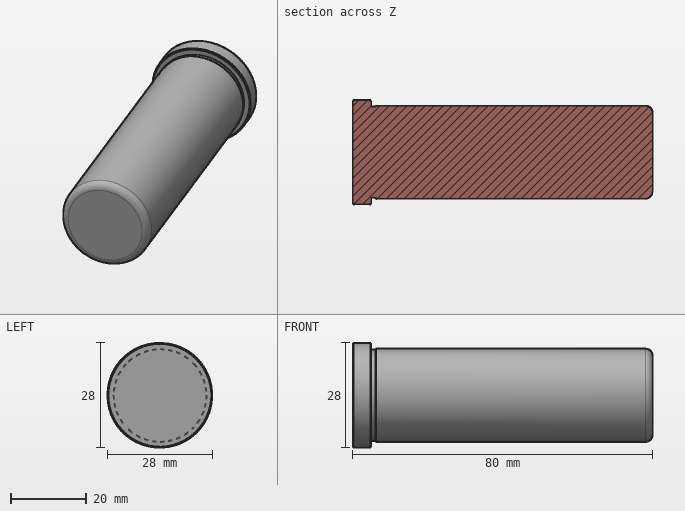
import cadquery as cq

total_length = 80.0
head_diameter = 28.0
head_thickness = 5.0
head_chamfer = 0.3
shank_diameter = 25.0
relief_width = 1.1
relief_depth = 0.2
tip_radius = 2.0

head_face_x = -total_length / 2
shoulder_x = head_face_x + head_thickness
relief_diameter = shank_diameter - 2 * relief_depth


def cylinder_along_x(start_x, length, diameter):
    """Solid cylinder on the X axis, starting at start_x."""
    return cq.Workplane("YZ", origin=(start_x, 0, 0)).circle(diameter / 2).extrude(length)


head = cylinder_along_x(head_face_x, head_thickness, head_diameter).edges().chamfer(head_chamfer)

relief = cylinder_along_x(shoulder_x, relief_width, relief_diameter)

shank_start_x = shoulder_x + relief_width
shank_length = total_length - head_thickness - relief_width
shank = cylinder_along_x(shank_start_x, shank_length, shank_diameter)
shank = shank.edges(">X").fillet(tip_radius)
shank = shank.edges("<X").chamfer(relief_depth)

result = head.union(relief).union(shank)